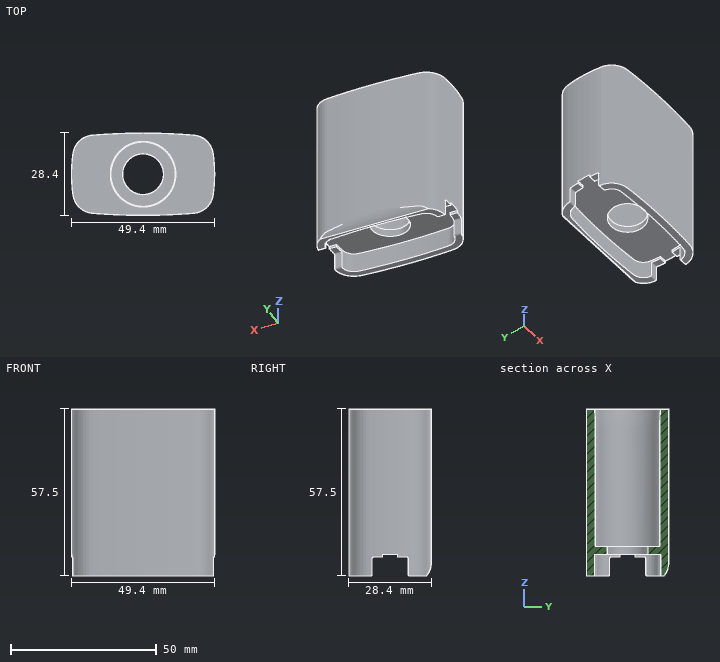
import cadquery as cq
import math

LENGTH = 49.4
WIDTH = 28.4
HEIGHT = 57.5

SIDE_RADIUS = 214.5
END_RADIUS = 50.0
CORNER_RADIUS = 7.4
SIDE_FACETS = 12
END_FACETS = 6
CORNER_FACETS = 9

MOUTH_DIAMETER = 22.65
BORE_DIAMETER = 22.15
MOUTH_DEPTH = 5.75
HOLE_DIAMETER = 14.0

WALL = 2.8
CAVITY_HEIGHT = 7.5
FLOOR_THICKNESS = WALL

SLOT_WIDTH = 12.35
SLOT_HEIGHT = 6.55
NOTCH_WIDTH = 5.05
NOTCH_HEIGHT = CAVITY_HEIGHT
SLOT_TOP_FILLET = 0.4
SLOT_FOOT_FILLET = 0.7

BACK_ROUND_HEIGHT = 4.35
BACK_ROUND_INSET = 1.85


def arc_points(center, radius, start, end, facets):
    """Facet corners along an arc, leaving out the last one."""
    step = (end - start) / facets
    return [
        (
            center[0] + radius * math.cos(start + i * step),
            center[1] + radius * math.sin(start + i * step),
        )
        for i in range(facets)
    ]


def outline_points(inset=0.0):
    """Closed outline of the body, moved inwards by the inset."""
    side_offset = SIDE_RADIUS - WIDTH / 2
    end_offset = END_RADIUS - LENGTH / 2

    side_reach = SIDE_RADIUS - CORNER_RADIUS
    end_reach = END_RADIUS - CORNER_RADIUS
    spacing = math.hypot(end_offset, side_offset)
    along = (end_reach**2 - side_reach**2 + spacing**2) / (2 * spacing)
    across = math.sqrt(end_reach**2 - along**2)
    corner_x = -end_offset + (along * end_offset + across * side_offset) / spacing
    corner_y = (across * end_offset - along * side_offset) / spacing

    end_angle = math.atan2(corner_y, corner_x + end_offset)
    side_angle = math.atan2(corner_y + side_offset, corner_x)

    end_arc = arc_points((-end_offset, 0), END_RADIUS - inset, -end_angle, end_angle, END_FACETS)
    corner_arc = arc_points(
        (corner_x, corner_y), CORNER_RADIUS - inset, end_angle, side_angle, CORNER_FACETS
    )
    side_arc = arc_points(
        (0, -side_offset), SIDE_RADIUS - inset, side_angle, math.pi - side_angle, SIDE_FACETS
    )
    second_corner_arc = arc_points(
        (-corner_x, corner_y),
        CORNER_RADIUS - inset,
        math.pi - side_angle,
        math.pi - end_angle,
        CORNER_FACETS,
    )
    half = end_arc + corner_arc + side_arc + second_corner_arc
    return half + [(-x, -y) for x, y in half]


def make_body():
    return cq.Workplane("XY").polyline(outline_points()).close().extrude(HEIGHT)


def make_bore():
    floor_top = CAVITY_HEIGHT + FLOOR_THICKNESS
    mouth_start = HEIGHT - MOUTH_DEPTH
    profile = [
        (0, 0),
        (HOLE_DIAMETER / 2, 0),
        (HOLE_DIAMETER / 2, floor_top),
        (BORE_DIAMETER / 2, floor_top),
        (BORE_DIAMETER / 2, mouth_start),
        (MOUTH_DIAMETER / 2, HEIGHT),
        (0, HEIGHT),
    ]
    return cq.Workplane("XZ").polyline(profile).close().revolve(360, (0, 0), (0, 1))


def make_cavity():
    return cq.Workplane("XY").polyline(outline_points(WALL)).close().extrude(CAVITY_HEIGHT)


def make_slot():
    half = SLOT_WIDTH / 2
    notch_half = NOTCH_WIDTH / 2
    top = SLOT_TOP_FILLET
    foot = SLOT_FOOT_FILLET
    diagonal = 1 - math.sqrt(0.5)
    return (
        cq.Workplane("YZ")
        .moveTo(-half - foot, 0)
        .threePointArc((-half - foot * diagonal, foot * diagonal), (-half, foot))
        .lineTo(-half, SLOT_HEIGHT - top)
        .threePointArc(
            (-half + top * diagonal, SLOT_HEIGHT - top * diagonal), (-half + top, SLOT_HEIGHT)
        )
        .lineTo(-notch_half, SLOT_HEIGHT)
        .lineTo(-notch_half, NOTCH_HEIGHT)
        .lineTo(notch_half, NOTCH_HEIGHT)
        .lineTo(notch_half, SLOT_HEIGHT)
        .lineTo(half - top, SLOT_HEIGHT)
        .threePointArc((half - top * diagonal, SLOT_HEIGHT - top * diagonal), (half, SLOT_HEIGHT - top))
        .lineTo(half, foot)
        .threePointArc((half + foot * diagonal, foot * diagonal), (half + foot, 0))
        .close()
        .extrude(LENGTH / 2, both=True)
    )


def make_back_round():
    """Waste outside the arc that leaves the +Y side tangentially and meets the bottom."""
    back = WIDTH / 2
    radius = (BACK_ROUND_HEIGHT**2 + BACK_ROUND_INSET**2) / (2 * BACK_ROUND_INSET)
    half_sweep = math.asin(BACK_ROUND_HEIGHT / radius) / 2
    middle = (
        back - radius * (1 - math.cos(half_sweep)),
        BACK_ROUND_HEIGHT - radius * math.sin(half_sweep),
    )
    return (
        cq.Workplane("YZ")
        .moveTo(back, BACK_ROUND_HEIGHT)
        .threePointArc(middle, (back - BACK_ROUND_INSET, 0))
        .lineTo(back, 0)
        .close()
        .extrude(LENGTH / 2, both=True)
    )


result = (
    make_body()
    .cut(make_bore())
    .cut(make_cavity())
    .cut(make_slot())
    .cut(make_back_round())
)